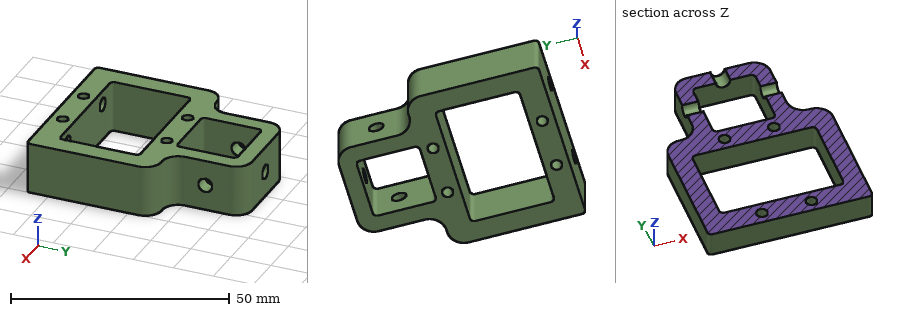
import cadquery as cq

height = 12.7
body_width = 40.0
body_length = 32.0
tab_width = 23.0
tab_length = 19.0
large_radius = 4.0
small_radius = 1.0

body_window_width = 30.0
body_window_length = 20.0
body_window_front = 6.0
tab_window_size = 15.0

bar_hole_diameter = 2.53
bar_hole_spacing = 12.0
bar_hole_rows = (3.0, 29.0)

front_hole_diameter = 3.2
front_hole_spacing = 20.0
front_hole_height = 9.2

tab_hole_diameter = 3.4
tab_hole_height = height / 2
tab_side_hole_setback = 10.0

total_length = body_length + tab_length
tab_side_hole_y = total_length - tab_side_hole_setback
tab_end_wall = tab_length - tab_window_size


def rounded_block(width, y_start, length, radius):
    """Full-height block centered on X = 0 with rounded vertical edges."""
    block = cq.Workplane("XY").box(width, length, height, centered=(True, False, False))
    return block.edges("|Z").fillet(radius).translate((0, y_start, 0))


def make_plate():
    half_body = body_width / 2
    half_tab = tab_width / 2
    outline = [
        (-half_body, 0),
        (half_body, 0),
        (half_body, body_length),
        (half_tab, body_length),
        (half_tab, total_length),
        (-half_tab, total_length),
        (-half_tab, body_length),
        (-half_body, body_length),
    ]
    plate = cq.Workplane("XY").polyline(outline).close().extrude(height)
    plate = plate.edges("|Z and (not <Y)").fillet(large_radius)
    return plate.faces("<Y").edges("|Z").fillet(small_radius)


def make_bar_holes():
    half_spacing = bar_hole_spacing / 2
    centers = [(x, y) for x in (-half_spacing, half_spacing) for y in bar_hole_rows]
    return cq.Workplane("XY").pushPoints(centers).circle(bar_hole_diameter / 2).extrude(height)


def make_front_holes():
    half_spacing = front_hole_spacing / 2
    centers = [(x, front_hole_height) for x in (-half_spacing, half_spacing)]
    return (
        cq.Workplane("XZ")
        .pushPoints(centers)
        .circle(front_hole_diameter / 2)
        .extrude(-body_window_front)
    )


def make_tab_side_hole():
    return (
        cq.Workplane("YZ")
        .center(tab_side_hole_y, tab_hole_height)
        .circle(tab_hole_diameter / 2)
        .extrude(tab_width / 2, both=True)
    )


def make_tab_end_hole():
    return (
        cq.Workplane("XZ", origin=(0, total_length, 0))
        .center(0, tab_hole_height)
        .circle(tab_hole_diameter / 2)
        .extrude(tab_end_wall)
    )


result = (
    make_plate()
    .cut(rounded_block(body_window_width, body_window_front, body_window_length, small_radius))
    .cut(rounded_block(tab_window_size, body_length, tab_window_size, small_radius))
    .cut(make_bar_holes())
    .cut(make_front_holes())
    .cut(make_tab_side_hole())
    .cut(make_tab_end_hole())
)